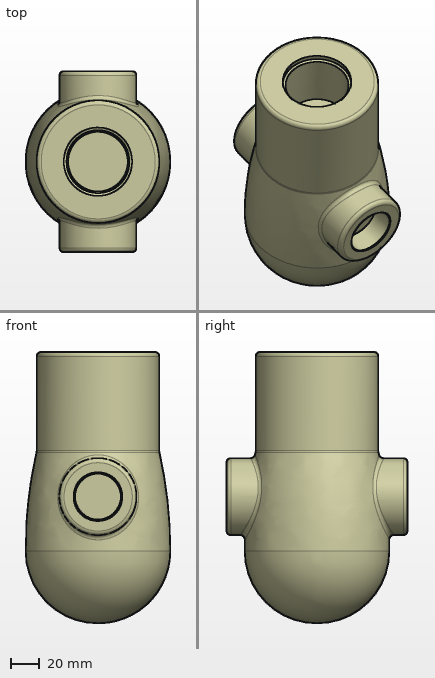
import cadquery as cq
import math

height = 190.5
port_span = 127.0

body_radius = 50.9
neck_radius = 43.0
neck_start = 120.8
rim_fillet = 3.0
neck_blend = 5.0

port_radius = 27.0
port_height = 89.0
port_blend = 3.0

taper_per_depth = 1 / 32
neck_socket_radius = 22.1
neck_socket_depth = 38.1
port_socket_radius = 16.5
port_socket_depth = 16.4
port_mouth_chamfer = 0.5

recess_radius = 24.0
recess_depth = 3.5
recess_cone_depth = 0.8


def body():
    """Bottom hemisphere, waist bulging tangent to it, and neck."""
    waist_rise = neck_start - body_radius
    waist_inset = body_radius - neck_radius
    bulge_radius = (waist_rise**2 + waist_inset**2) / (2 * waist_inset)
    mid_rise = waist_rise / 2
    mid_inset = bulge_radius - math.sqrt(bulge_radius**2 - mid_rise**2)
    bottom_mid = body_radius * math.sqrt(0.5)
    outline = (
        cq.Workplane("XZ")
        .moveTo(0, 0)
        .threePointArc((bottom_mid, body_radius - bottom_mid), (body_radius, body_radius))
        .threePointArc(
            (body_radius - mid_inset, body_radius + mid_rise),
            (neck_radius, neck_start),
        )
        .lineTo(neck_radius, height)
        .lineTo(0, height)
        .close()
    )
    solid = outline.revolve(360, (0, 0, 0), (0, 1, 0))
    solid = solid.faces(">Z").edges().fillet(rim_fillet)
    joint_margin = 0.2
    neck_joint = cq.selectors.BoxSelector(
        (-body_radius, -body_radius, neck_start - joint_margin),
        (body_radius, body_radius, neck_start + joint_margin),
        boundingbox=True,
    )
    return solid.edges(neck_joint).fillet(neck_blend)


def ports():
    """One cylinder through the body whose two ends are the side ports."""
    return (
        cq.Workplane("XZ", origin=(0, 0, port_height))
        .circle(port_radius)
        .extrude(port_span / 2, both=True)
        .faces("<Y or >Y")
        .edges()
        .fillet(rim_fillet)
    )


def joined_body():
    """Body and ports as one solid with blended joints."""
    solid = body().union(ports())
    joint_reach = port_radius + port_blend
    joints = [
        cq.selectors.BoxSelector(
            (-joint_reach, side * neck_radius / 2, port_height - joint_reach),
            (joint_reach, side * body_radius, port_height + joint_reach),
            boundingbox=True,
        )
        for side in (-1, 1)
    ]
    return solid.edges(joints[0] + joints[1]).fillet(port_blend)


def tapered_socket(mouth_center, direction, mouth_radius, depth):
    """Cutter for a flat-bottomed socket that narrows with depth."""
    floor_radius = mouth_radius - depth * taper_per_depth
    return cq.Workplane(
        cq.Solid.makeCone(
            mouth_radius, floor_radius, depth, cq.Vector(mouth_center), cq.Vector(direction)
        )
    )


def neck_recess():
    """Cutter for the shallow recess: a straight wall above a flat cone."""
    cone_top = height - recess_depth
    cone_bottom = cone_top - recess_cone_depth
    return (
        cq.Workplane("XZ")
        .moveTo(0, height)
        .lineTo(recess_radius, height)
        .lineTo(recess_radius, cone_top)
        .lineTo(neck_socket_radius, cone_bottom)
        .lineTo(0, cone_bottom)
        .close()
        .revolve(360, (0, 0, 0), (0, 1, 0))
    )


def neck_socket():
    """Cutter for the socket that opens below the neck recess."""
    mouth_height = height - recess_depth - recess_cone_depth
    return tapered_socket((0, 0, mouth_height), (0, 0, -1), neck_socket_radius, neck_socket_depth)


def port_socket(side):
    """Cutter for the socket of one port, with its mouth chamfer; side is -1 or 1 along Y."""
    mouth_center = (0, side * port_span / 2, port_height)
    inward = (0, -side, 0)
    socket = tapered_socket(mouth_center, inward, port_socket_radius, port_socket_depth)
    chamfer = cq.Solid.makeCone(
        port_socket_radius + port_mouth_chamfer,
        port_socket_radius,
        port_mouth_chamfer,
        cq.Vector(mouth_center),
        cq.Vector(inward),
    )
    return socket.union(cq.Workplane(chamfer))


result = joined_body().cut(neck_recess()).cut(neck_socket())
for side in (-1, 1):
    result = result.cut(port_socket(side))